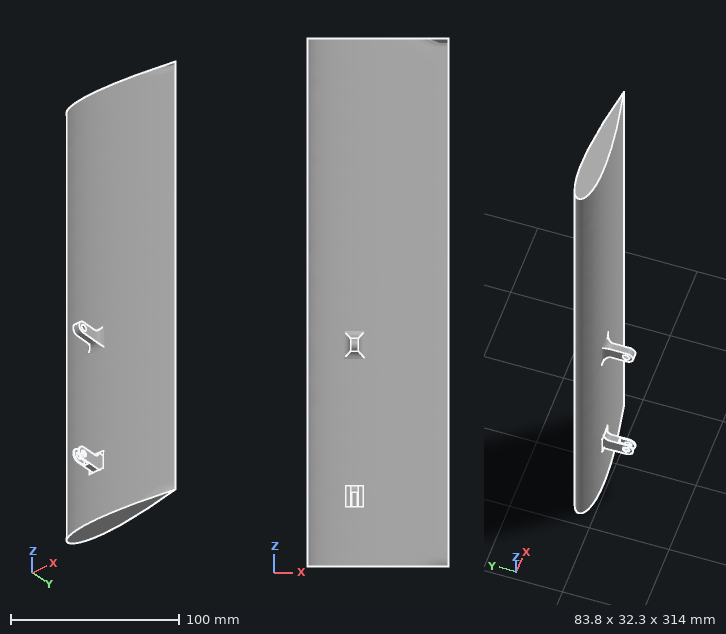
import cadquery as cq
import math

span = 314.0
chord = 83.8
thickness = 14.0
overall_depth = 32.3
section_stations = 24

lug_x = 28.0
lug_width = 4.7
lug_tip_y = thickness / 2 - overall_depth
pin_hole_diameter = 4.0
pin_to_tip = 4.5

tang_z = 132.0
tang_height = 8.0
root_blend = 4.5

fork_z = 40.0
fork_height = 8.8
fork_slot_width = 3.0
fork_slot_depth = 9.5
pocket_width = 10.7
pocket_height = 12.5
pocket_depth = 4.5

skin_y = -thickness / 2
pocket_floor_y = skin_y + pocket_depth
fork_bottom_z = fork_z - fork_height / 2
fork_top_z = fork_z + fork_height / 2
gusset_radius = pocket_height - fork_height


def half_thickness(fraction):
    """Aerofoil half thickness at a fraction of the chord, zero at the trailing edge."""
    shape = (
        0.2969 * math.sqrt(fraction)
        - 0.1260 * fraction
        - 0.3516 * fraction**2
        + 0.2843 * fraction**3
        - 0.1036 * fraction**4
    )
    return 5 * thickness * shape


def make_wing():
    fractions = [
        (1 - math.cos(math.pi * i / section_stations)) / 2
        for i in range(1, section_stations)
    ]
    front_skin = [(chord * f, -half_thickness(f)) for f in fractions]
    back_skin = [(x, -y) for x, y in reversed(front_skin)]
    trailing_edge = (chord, 0)
    outline = [trailing_edge, *back_skin, (0, 0), *front_skin, trailing_edge]
    return cq.Workplane("XY").spline(outline).close().extrude(span)


def make_lug(center_z, height, root_y):
    """Bar from root_y out to its rounded tip."""
    radius = height / 2
    shoulder_y = lug_tip_y + radius
    return (
        cq.Workplane("YZ", origin=(lug_x - lug_width / 2, 0, center_z))
        .moveTo(root_y, -radius)
        .lineTo(shoulder_y, -radius)
        .threePointArc((lug_tip_y, 0), (shoulder_y, radius))
        .lineTo(root_y, radius)
        .close()
        .extrude(lug_width)
    )


def make_pin_hole(center_z):
    return (
        cq.Workplane("YZ", origin=(lug_x, lug_tip_y + pin_to_tip, center_z))
        .circle(pin_hole_diameter / 2)
        .extrude(lug_width, both=True)
    )


def add_tang(body):
    body = body.union(make_lug(tang_z, tang_height, 0))
    root_edges = cq.selectors.BoxSelector(
        (lug_x - lug_width, skin_y - root_blend, tang_z - tang_height),
        (lug_x + lug_width, skin_y + root_blend, tang_z + tang_height),
    )
    body = body.edges(root_edges).fillet(root_blend)
    return body.cut(make_pin_hole(tang_z))


def make_gusset():
    """Concave web from the top of the fork up to the upper wall of the pocket."""
    return (
        cq.Workplane("YZ", origin=(lug_x - lug_width / 2, 0, fork_top_z))
        .moveTo(pocket_floor_y, 0)
        .lineTo(skin_y - gusset_radius, 0)
        .radiusArc((skin_y, gusset_radius), -gusset_radius)
        .lineTo(pocket_floor_y, gusset_radius)
        .close()
        .extrude(lug_width)
    )


def add_fork(body):
    pocket = cq.Workplane("XY").box(pocket_width, 2 * pocket_depth, pocket_height).translate(
        (lug_x, skin_y, fork_bottom_z + pocket_height / 2)
    )
    slot = cq.Workplane("XY").box(fork_slot_width, fork_slot_depth, fork_height).translate(
        (lug_x, lug_tip_y + fork_slot_depth / 2, fork_z)
    )
    lug = make_lug(fork_z, fork_height, pocket_floor_y).union(make_gusset())
    lug = lug.cut(slot).cut(make_pin_hole(fork_z))
    return body.cut(pocket).union(lug)


result = add_fork(add_tang(make_wing()))